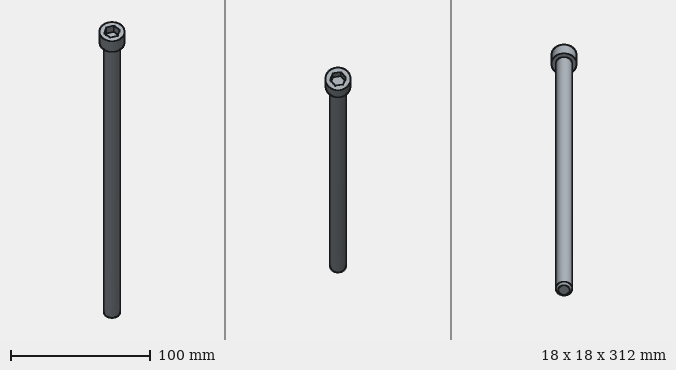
import cadquery as cq
import math

total_length = 312.0
head_diameter = 18.0
head_height = 12.0
shank_diameter = 12.0
threaded_length = 36.0
tip_chamfer = 2.0
socket_width = 10.0
socket_depth = 7.0

bottom_z = -total_length / 2
top_z = total_length / 2
head_base_z = top_z - head_height
thread_top_z = bottom_z + threaded_length
socket_corner_diameter = socket_width / math.cos(math.pi / 6)


def cylinder(diameter, z_start, z_end):
    """Solid cylinder on the screw axis between two heights."""
    return cq.Workplane("XY", origin=(0, 0, z_start)).circle(diameter / 2).extrude(z_end - z_start)


head = cylinder(head_diameter, head_base_z, top_z)
shank = cylinder(shank_diameter, thread_top_z, head_base_z)

threaded_end = cylinder(shank_diameter, bottom_z, thread_top_z).faces("<Z").chamfer(tip_chamfer)

socket = (
    cq.Workplane("XY", origin=(0, 0, top_z - socket_depth))
    .polygon(6, socket_corner_diameter)
    .extrude(socket_depth)
)

result = head.cut(socket).union(shank).union(threaded_end, clean=False)